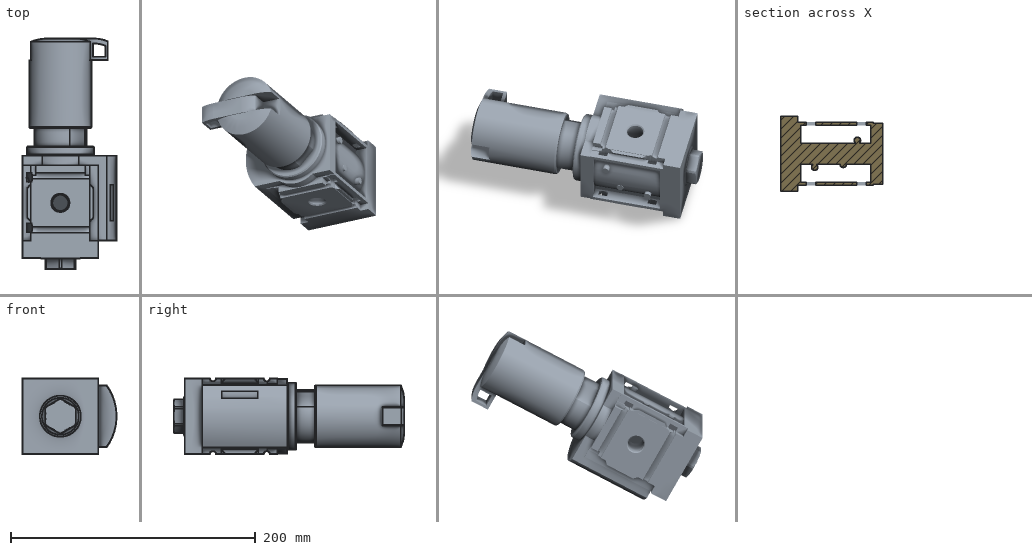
import cadquery as cq
import math


HOUSING_SIZE = 62.0
HALF = HOUSING_SIZE / 2
BASE_LENGTH = 14.2
CORE_END = 75.8
HOUSING_LENGTH = 83.8
CORE_HALF_WIDTH = 24.0
LEDGE_HALF_HEIGHT = 25.8
COLLAR_HALF_HEIGHT = 25.3
PORT_Y = 45.1

SADDLE_HALF_CHORD = 15.0
SADDLE_TOP = 30.5

GROOVE_RADIUS = 2.45
GROOVE_DEPTH = 2.4
GROOVE_OFFSET = 22.0

CORNER_POCKET_WIDTH = 3.8
CORNER_POCKET_LENGTH = 8.3
CORNER_POCKET_FLOOR = 26.4

LUG_REACH = 3.0
LUG_DROP = 3.6
LUG_INSET = 0.4
LUG_ROOT_LENGTH = 30.4
LUG_TIP_LENGTH = 24.4

SLOT_OUTER_X = -27.6
SLOT_STEP_X = -23.5
SLOT_INNER_X = -22.8
SLOT_WIDE = 7.3
SLOT_NARROW = 4.5
SLOT_YS = (24.7, 65.9)

PORT_DIAMETER = 13.2
PORT_MOUTH_DIAMETER = 15.0
PORT_CHAMFER = (PORT_MOUTH_DIAMETER - PORT_DIAMETER) / 2
PORT_DEPTH = 22.0

WINDOW_START = 16.8
WINDOW_END = 73.3
WINDOW_HALF_HEIGHT = 23.0
WINDOW_BACK_X = -20.4
WINDOW_BEVEL_HEIGHT = 2.4
WINDOW_BEVEL_DEPTH = 1.2
BOWL_RADIUS = 29.0
STUD_DIAMETER = 5.5
STUD_ROOT_X = -25.0
STUDS = ((27.8, -11.0, -30.5), (51.1, -8.7, -28.6), (62.7, 10.9, -30.5))

COVER_EDGE_X = 37.8
COVER_CROWN_X = 46.0
COVER_POCKET_LENGTH = 29.6
COVER_POCKET_X = 40.8
COVER_POCKET_LOW_Z = 14.8

WASHER_DIAMETER = 33.6
WASHER_FACE_DIAMETER = 30.2
WASHER_HEIGHT = 0.6
HEX_ACROSS_FLATS = 25.0
HEX_CORNER_DIAMETER = 27.8
HEX_END_DIAMETER = 24.6
PLUG_LENGTH = 9.0
HEX_CHAMFER = 0.5

FLANGE_DIAMETER = 55.0
FLANGE_END = 91.3
FLANGE_CHAMFER = 0.9
NECK_DIAMETER = 42.92
NECK_FLAT_DISTANCE = 19.6
KNOB_DIAMETER = 51.0
KNOB_START = 106.1
KNOB_CHAMFER_LENGTH = 1.3
KNOB_CHAMFER_DEPTH = 0.75
KNOB_RIM = 176.6
KNOB_TOP = 179.5
DOME_FLAT_RADIUS = 13.0

KNOB_SLOT_HALF_HEIGHT = 7.5
SLIDE_HALF_HEIGHT = 7.1
SLIDE_FLOOR = 161.8
SLIDE_SHIFT = 14.4
SLIDE_HALF_LENGTH = 24.5
EYE_START_X = 26.8
EYE_END_WALL = 2.2
EYE_FLOOR_WALL = 2.8
EYE_ROOF_WALL = 4.2


def box(x0, x1, y0, y1, z0, z1):
    """Axis-aligned block between the given limits."""
    return cq.Workplane("XY").box(x1 - x0, y1 - y0, z1 - z0, centered=False).translate((x0, y0, z0))


def disc(diameter, y0, y1):
    """Cylinder about the Y axis between y0 and y1."""
    return cq.Workplane("XZ", origin=(0, y0, 0)).circle(diameter / 2).extrude(y0 - y1)


def on_top_and_bottom(shape):
    """The shape together with its mirror image below Z = 0."""
    return shape.union(shape.mirror("XY"))


DOME_SAG = KNOB_TOP - KNOB_RIM
DOME_REACH = KNOB_DIAMETER / 2 - DOME_FLAT_RADIUS
DOME_ARC_RADIUS = (DOME_REACH**2 + DOME_SAG**2) / (2 * DOME_SAG)


def dome_point(radius, inset=0.0):
    """Point on the dome profile, or on its parallel curve lying inset below it."""
    arc_radius = DOME_ARC_RADIUS - inset
    run = radius - DOME_FLAT_RADIUS
    return (radius, KNOB_TOP - DOME_ARC_RADIUS + math.sqrt(arc_radius**2 - run**2))


def saddle():
    """Shallow arched rises above and below the rear collar."""
    arch = (
        cq.Workplane("XZ", origin=(0, HOUSING_LENGTH, 0))
        .moveTo(-SADDLE_HALF_CHORD, 0)
        .lineTo(-SADDLE_HALF_CHORD, COLLAR_HALF_HEIGHT)
        .threePointArc((0, SADDLE_TOP), (SADDLE_HALF_CHORD, COLLAR_HALF_HEIGHT))
        .lineTo(SADDLE_HALF_CHORD, 0)
        .close()
        .extrude(HOUSING_LENGTH - CORE_END)
    )
    return on_top_and_bottom(arch)


def side_cover():
    """Cover on the +X side with a crowned outer face and a sunk strip."""
    cover = (
        cq.Workplane("XZ", origin=(0, HOUSING_LENGTH, 0))
        .moveTo(HALF, -COLLAR_HALF_HEIGHT)
        .lineTo(COVER_EDGE_X, -COLLAR_HALF_HEIGHT)
        .threePointArc((COVER_CROWN_X, 0), (COVER_EDGE_X, COLLAR_HALF_HEIGHT))
        .lineTo(HALF, COLLAR_HALF_HEIGHT)
        .close()
        .extrude(HOUSING_LENGTH - BASE_LENGTH)
    )
    half_length = COVER_POCKET_LENGTH / 2
    strip = box(
        COVER_POCKET_X, COVER_CROWN_X,
        PORT_Y - half_length, PORT_Y + half_length,
        COVER_POCKET_LOW_Z, COLLAR_HALF_HEIGHT,
    )
    return cover.cut(strip)


def lug(side):
    """Wedge-shaped lug at the top edge of one side of the core."""
    top = HALF - LUG_INSET
    root_x = side * CORE_HALF_WIDTH
    wedge = (
        cq.Workplane("XZ", origin=(0, PORT_Y + LUG_ROOT_LENGTH / 2, 0))
        .polyline([(root_x, top), (root_x + side * LUG_REACH, top), (root_x, top - LUG_DROP)])
        .close()
        .extrude(LUG_ROOT_LENGTH)
    )
    outline = (
        cq.Workplane("XY")
        .polyline([
            (root_x, PORT_Y - LUG_ROOT_LENGTH / 2),
            (root_x + side * LUG_REACH, PORT_Y - LUG_TIP_LENGTH / 2),
            (root_x + side * LUG_REACH, PORT_Y + LUG_TIP_LENGTH / 2),
            (root_x, PORT_Y + LUG_ROOT_LENGTH / 2),
        ])
        .close()
        .extrude(HALF)
    )
    return wedge.intersect(outline)


def groove(y):
    """Round-bottomed groove across the top of the core."""
    return (
        cq.Workplane("YZ", origin=(-CORE_HALF_WIDTH, 0, 0))
        .center(y, HALF - GROOVE_DEPTH + GROOVE_RADIUS)
        .circle(GROOVE_RADIUS)
        .extrude(2 * CORE_HALF_WIDTH)
    )


def corner_pocket(side):
    """Recess at a rear corner of the core."""
    inner = CORE_HALF_WIDTH - CORNER_POCKET_WIDTH
    x0, x1 = sorted((side * inner, side * CORE_HALF_WIDTH))
    return box(x0, x1, CORE_END - CORNER_POCKET_LENGTH, CORE_END, CORNER_POCKET_FLOOR, HALF)


def clip_slot(y):
    """Stepped slot through the ledge, from the core edge down into the window."""
    wide = box(
        SLOT_OUTER_X, SLOT_STEP_X,
        y - SLOT_WIDE / 2, y + SLOT_WIDE / 2,
        WINDOW_HALF_HEIGHT, HALF,
    )
    narrow = box(
        SLOT_STEP_X, SLOT_INNER_X,
        y - SLOT_NARROW / 2, y + SLOT_NARROW / 2,
        WINDOW_HALF_HEIGHT, HALF,
    )
    return wide.union(narrow)


def port():
    """Blind port with a chamfered mouth."""
    bore = (
        cq.Workplane("XY", origin=(0, PORT_Y, HALF))
        .circle(PORT_DIAMETER / 2)
        .extrude(-PORT_DEPTH)
    )
    mouth = cq.Workplane(cq.Solid.makeCone(
        PORT_MOUTH_DIAMETER / 2, PORT_DIAMETER / 2, PORT_CHAMFER,
        pnt=cq.Vector(0, PORT_Y, HALF), dir=cq.Vector(0, 0, -1),
    ))
    return bore.union(mouth)


def window():
    """Side window, bevelled along its inner corners, around the round core behind it."""
    bevel_start_x = WINDOW_BACK_X - WINDOW_BEVEL_DEPTH
    back_half_height = WINDOW_HALF_HEIGHT - WINDOW_BEVEL_HEIGHT
    opening = (
        cq.Workplane("XZ", origin=(0, WINDOW_END, 0))
        .polyline([
            (-HALF, -WINDOW_HALF_HEIGHT),
            (bevel_start_x, -WINDOW_HALF_HEIGHT),
            (WINDOW_BACK_X, -back_half_height),
            (WINDOW_BACK_X, back_half_height),
            (bevel_start_x, WINDOW_HALF_HEIGHT),
            (-HALF, WINDOW_HALF_HEIGHT),
        ])
        .close()
        .extrude(WINDOW_END - WINDOW_START)
    )
    return opening.cut(disc(2 * BOWL_RADIUS, WINDOW_START, WINDOW_END))


def stud(y, z, end_x):
    """Round stud standing on the core inside the window."""
    return (
        cq.Workplane("YZ", origin=(end_x, y, z))
        .circle(STUD_DIAMETER / 2)
        .extrude(STUD_ROOT_X - end_x)
    )


def housing():
    """Square housing with its ledges, cover, ports and window."""
    block = box(-HALF, HALF, 0, BASE_LENGTH, -HALF, HALF)
    ledges = box(-HALF, HALF, BASE_LENGTH, CORE_END, -LEDGE_HALF_HEIGHT, LEDGE_HALF_HEIGHT)
    core = box(-CORE_HALF_WIDTH, CORE_HALF_WIDTH, BASE_LENGTH, CORE_END, -HALF, HALF)
    collar = box(-HALF, HALF, CORE_END, HOUSING_LENGTH, -COLLAR_HALF_HEIGHT, COLLAR_HALF_HEIGHT)
    shape = block.union(ledges).union(core).union(collar)
    shape = shape.union(saddle()).union(side_cover())
    for side in (-1, 1):
        shape = shape.union(on_top_and_bottom(lug(side)))
        shape = shape.cut(on_top_and_bottom(corner_pocket(side)))
        shape = shape.cut(on_top_and_bottom(groove(PORT_Y + side * GROOVE_OFFSET)))
    shape = shape.cut(window())
    for y in SLOT_YS:
        shape = shape.cut(on_top_and_bottom(clip_slot(y)))
    shape = shape.cut(on_top_and_bottom(port()))
    for y, z, end_x in STUDS:
        shape = shape.union(stud(y, z, end_x))
    return shape


def plug():
    """Hexagon plug with a bevelled washer face on the front of the housing."""
    washer = cq.Workplane(cq.Solid.makeCone(
        WASHER_DIAMETER / 2, WASHER_FACE_DIAMETER / 2, WASHER_HEIGHT,
        pnt=cq.Vector(0, 0, 0), dir=cq.Vector(0, -1, 0),
    ))
    hexagon = (
        cq.Workplane("XZ")
        .polygon(6, HEX_ACROSS_FLATS, circumscribed=True)
        .extrude(PLUG_LENGTH)
    )
    envelope = (
        cq.Workplane("XY")
        .polyline([
            (0, 0),
            (HEX_CORNER_DIAMETER / 2, 0),
            (HEX_CORNER_DIAMETER / 2, -PLUG_LENGTH + HEX_CHAMFER),
            (HEX_END_DIAMETER / 2, -PLUG_LENGTH),
            (0, -PLUG_LENGTH),
        ])
        .close()
        .revolve(360, (0, 0, 0), (0, 1, 0))
    )
    return washer.union(hexagon.intersect(envelope))


def flange():
    return disc(FLANGE_DIAMETER, HOUSING_LENGTH, FLANGE_END).edges().chamfer(FLANGE_CHAMFER)


def neck():
    """Round neck with two opposite flats turned 45 degrees about Y."""
    flats = (
        cq.Workplane("XZ", origin=(0, FLANGE_END, 0))
        .transformed(rotate=(0, 0, 45))
        .rect(2 * NECK_FLAT_DISTANCE, NECK_DIAMETER)
        .extrude(FLANGE_END - KNOB_START)
    )
    return disc(NECK_DIAMETER, FLANGE_END, KNOB_START).intersect(flats)


def knob():
    """Domed knob with a slot across its end for the locking slide."""
    radius = KNOB_DIAMETER / 2
    body = (
        cq.Workplane("XY")
        .moveTo(0, KNOB_START)
        .lineTo(radius - KNOB_CHAMFER_DEPTH, KNOB_START)
        .lineTo(radius, KNOB_START + KNOB_CHAMFER_LENGTH)
        .lineTo(radius, KNOB_RIM)
        .threePointArc(dome_point(radius - DOME_REACH / 2), dome_point(DOME_FLAT_RADIUS))
        .lineTo(0, KNOB_TOP)
        .close()
        .revolve(360, (0, 0, 0), (0, 1, 0))
    )
    slot = box(-radius, radius, SLIDE_FLOOR, KNOB_TOP, -KNOB_SLOT_HALF_HEIGHT, KNOB_SLOT_HALF_HEIGHT)
    return body.cut(slot)


def locking_slide():
    """Slide with the dome's profile, pulled out toward +X, with a padlock eye in its end."""
    tip_x, tip_y = dome_point(SLIDE_HALF_LENGTH)
    mid_x, mid_y = dome_point((SLIDE_HALF_LENGTH + DOME_FLAT_RADIUS) / 2)
    plate = (
        cq.Workplane("XY", origin=(SLIDE_SHIFT, 0, -SLIDE_HALF_HEIGHT))
        .moveTo(-tip_x, SLIDE_FLOOR)
        .lineTo(tip_x, SLIDE_FLOOR)
        .lineTo(tip_x, tip_y)
        .threePointArc((mid_x, mid_y), (DOME_FLAT_RADIUS, KNOB_TOP))
        .lineTo(-DOME_FLAT_RADIUS, KNOB_TOP)
        .threePointArc((-mid_x, mid_y), (-tip_x, tip_y))
        .close()
        .extrude(2 * SLIDE_HALF_HEIGHT)
    )
    eye_start = EYE_START_X - SLIDE_SHIFT
    eye_end = SLIDE_HALF_LENGTH - EYE_END_WALL
    eye_floor = SLIDE_FLOOR + EYE_FLOOR_WALL
    eye = (
        cq.Workplane("XY", origin=(SLIDE_SHIFT, 0, -SLIDE_HALF_HEIGHT))
        .moveTo(eye_start, eye_floor)
        .lineTo(eye_end, eye_floor)
        .lineTo(*dome_point(eye_end, EYE_ROOF_WALL))
        .threePointArc(
            dome_point((eye_start + eye_end) / 2, EYE_ROOF_WALL),
            dome_point(eye_start, EYE_ROOF_WALL),
        )
        .close()
        .extrude(2 * SLIDE_HALF_HEIGHT)
    )
    return plate.cut(eye)


regulator = housing().union(plug()).union(flange()).union(neck()).union(knob())
slide = locking_slide()

result = cq.Compound.makeCompound([regulator.val(), slide.val()])